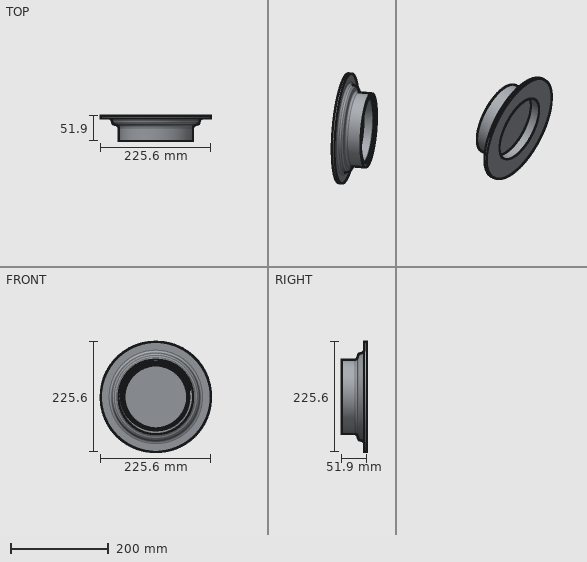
import cadquery as cq
import math


total_height = 51.9
flange_radius = 112.82
flange_thickness = 6.0
foot_radius = 95.5
hub_radius = 76.2
draft = math.radians(15)
blend_radius = 5.6
shoulder_wall = 4.4
bore_radius = 68.35

thread_pitch = 15.0
thread_major_radius = 71.7
thread_crest_share = 122 / 360
thread_flank_share = 56 / 360
thread_mouth_angle = 121
thread_turns_inside = 1.0
thread_turns_beyond = 0.6
thread_overcut = 0.5

liner_recess = 6.6
liner_wall = 4.1
disc_thickness = 6.0
disc_face_height = 26.6


def revolve(profile):
    """Turn a closed half profile about the Z axis."""
    return profile.close().revolve(360, (0, 0, 0), (0, 1, 0))


def point_on_arc(center, angle):
    """Point at an angle (radians) on a shoulder blend."""
    return (center[0] + blend_radius * math.cos(angle), center[1] + blend_radius * math.sin(angle))


def add_blend(profile, center, start, end):
    """Add a straight run up to a blend and then the blend itself."""
    middle = point_on_arc(center, (start + end) / 2)
    return profile.lineTo(*point_on_arc(center, start)).threePointArc(middle, point_on_arc(center, end))


def make_housing_blank():
    right_angle = math.pi / 2
    foot_center = (foot_radius, flange_thickness + blend_radius)
    wall_start = point_on_arc(foot_center, math.pi + draft)
    corner_center = (
        wall_start[0] - shoulder_wall * math.sin(draft) - blend_radius * math.cos(draft),
        wall_start[1] + shoulder_wall * math.cos(draft) - blend_radius * math.sin(draft),
    )
    top_start = point_on_arc(corner_center, right_angle - draft)
    neck_x = hub_radius + blend_radius
    top_end_x = neck_x - blend_radius * math.sin(draft)
    top_end_z = top_start[1] + (top_start[0] - top_end_x) * math.tan(draft)
    neck_center = (neck_x, top_end_z + blend_radius * math.cos(draft))

    profile = (
        cq.Workplane("YZ")
        .moveTo(bore_radius, 0)
        .lineTo(flange_radius, 0)
        .lineTo(flange_radius, flange_thickness)
    )
    profile = add_blend(profile, foot_center, -right_angle, -math.pi + draft)
    profile = add_blend(profile, corner_center, draft, right_angle - draft)
    profile = add_blend(profile, neck_center, -right_angle - draft, -math.pi)
    profile = profile.lineTo(hub_radius, total_height).lineTo(bore_radius, total_height)
    return revolve(profile)


def make_thread_cutter():
    """Right-handed trapezoidal groove that runs out through the mouth."""
    helix_height = thread_pitch * (thread_turns_inside + thread_turns_beyond)
    start_height = total_height - thread_pitch * thread_turns_inside
    start_angle = thread_mouth_angle - 360 * thread_turns_inside
    helix = cq.Wire.makeHelix(thread_pitch, helix_height, bore_radius)

    half_crest = thread_pitch * thread_crest_share / 2
    half_root = half_crest + thread_pitch * thread_flank_share
    inner_radius = bore_radius - thread_overcut
    cutter = (
        cq.Workplane("XZ")
        .polyline([
            (inner_radius, -half_root),
            (bore_radius, -half_root),
            (thread_major_radius, -half_crest),
            (thread_major_radius, half_crest),
            (bore_radius, half_root),
            (inner_radius, half_root),
        ])
        .close()
        .sweep(cq.Workplane(obj=helix), isFrenet=True)
    )
    return cutter.rotate((0, 0, 0), (0, 0, 1), start_angle).translate((0, 0, start_height))


def make_liner():
    """Plain tube with a full-round rim."""
    inner_radius = bore_radius - liner_wall
    middle_radius = bore_radius - liner_wall / 2
    rim_height = total_height - liner_recess
    profile = (
        cq.Workplane("YZ")
        .moveTo(inner_radius, disc_face_height)
        .lineTo(bore_radius, disc_face_height)
        .lineTo(bore_radius, rim_height)
        .threePointArc((middle_radius, rim_height + liner_wall / 2), (inner_radius, rim_height))
    )
    return revolve(profile)


def make_disc():
    """Flat plate that closes the bore under the liner."""
    disc_back = disc_face_height - disc_thickness
    return cq.Workplane("XY").workplane(offset=disc_back).circle(bore_radius).extrude(disc_thickness)


def face_front(body):
    """Turn the upward mouth toward -Y."""
    return body.rotate((0, 0, 0), (1, 0, 0), 90)


housing = face_front(make_housing_blank().cut(make_thread_cutter()))
liner = face_front(make_liner())
disc = face_front(make_disc())

result = cq.Compound.makeCompound([housing.val(), liner.val(), disc.val()])